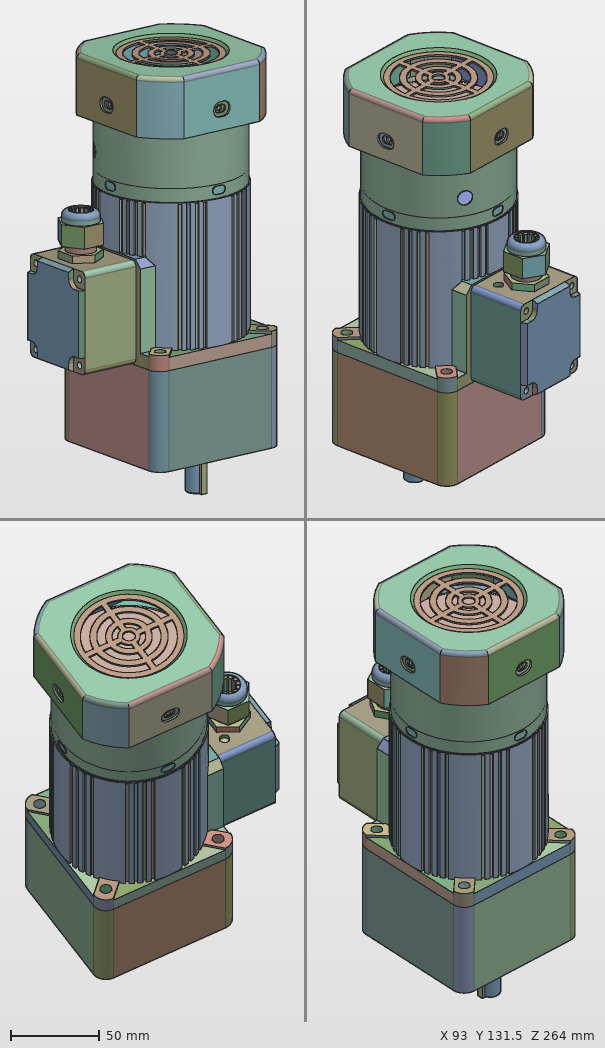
import cadquery as cq
import math


BOSS_BOTTOM = 28.2
GEARBOX_BOTTOM = 32.5
FLANGE_BOTTOM = 92.1
FLANGE_TOP = 100.0
EAR_TOP = 101.6
HOUSING_TOP = 187.2
SPIGOT_TOP = 195.4
CAP_BOTTOM = 227.8
CAP_TOP = 264.0

BODY_WIDTH = 90.0
BODY_CORNER_RADIUS = 8.2
BOLT_SPACING = 73.7
BOLT_HOLE_DIAMETER = 6.5
BOSS_RADIUS = 17.2
SHAFT_RADIUS = 6.0
SHAFT_Y = 18.0
SHAFT_CHAMFER = 0.65
KEY_WIDTH = 4.0
KEY_BOTTOM_X = 3.7
KEY_TOP_X = 7.7
KEY_LENGTH = 25.3

HOUSING_RADIUS = BODY_WIDTH / 2
RIM_HEIGHT = 0.8
GROOVE_WIDTH = 1.98
GROOVE_DEPTH = 1.5
GROOVE_FIRST_ANGLE = 12.8
GROOVE_PITCH_ANGLE = 6.3
GROOVES_PER_GROUP = 4
PAD_WIDTH = 58.3
PAD_TOP = 154.7
PAD_CHAMFER = 4.8

SLEEVE_DIAMETER = 88.5
SLEEVE_RADIUS = SLEEVE_DIAMETER / 2
SLEEVE_WALL = 0.5
SLEEVE_TOP = 237.5
SLOT_LENGTH = 9.0
SLOT_HEIGHT = 5.0
SLOT_Z = 192.0
CABLE_HOLE_DIAMETER = 9.0
CABLE_HOLE_Z = 207.0
CABLE_HOLE_ANGLE = 240

CAP_WIDTH = 93.0
CAP_CORNER_RADIUS = 53.9
CAP_EDGE_FILLET = 2.6
CAP_WALL = 3.7
CAP_ROOF = 1.0
SCREW_Z = 240.2
SCREW_RECESS_LENGTH = 12.0
SCREW_RECESS_HEIGHT = 9.0
SCREW_RECESS_DEPTH = 1.3
SCREW_SLOT_LENGTH = 7.0
SCREW_SLOT_HEIGHT = 4.8
SCREW_SLOT_DEPTH = 1.0
SCREW_HOLE_DIAMETER = 3.2
GRILLE_RADIUS = 33.0
GRILLE_FLOOR_RADIUS = 31.2
GRILLE_BACK_RADIUS = 34.8
GRILLE_DEPTH = 1.5
VENT_RINGS = [(6.3, 9.5), (13.2, 18.2), (22.2, 27.5)]
VENT_SPOKE_WIDTH = 3.7
VENT_CENTRE_RADIUS = 3.7

BOX_WIDTH = 50.0
BOX_BOTTOM = 92.7
BOX_TOP = 153.6
BOX_FRONT_Y = -85.0
BOX_BACK_Y = -BODY_WIDTH / 2
BOX_EDGE_FILLET = 3.2
BOX_BEVEL_WIDTH = 1.72
BOX_BEVEL_DEPTH = 3.5
POCKET_SIZE = 10.5
POCKET_DEPTH = 3.5
POCKET_CORNER_RADIUS = 5.0
BOX_SCREW_INSET = 5.0
BOX_SCREW_DIAMETER = 4.0
BOX_SCREW_DEPTH = 4.0
BOX_HOLE_X = -13.0
BOX_HOLE_Y = -55.2
BOX_HOLE_RADIUS = 3.0
BOX_HOLE_DEPTH = 2.6

GLAND_Y = -65.0
LOWER_HEX_FLATS = 22.5
LOWER_HEX_TOP = 158.1
NECK_RADIUS = 9.0
NECK_TOP = 162.5
UPPER_HEX_FLATS = 24.0
UPPER_HEX_TOP = 175.5
DOME_RADIUS = 11.0
DOME_TOP = 182.2
DOME_FILLET = 3.7
GLAND_MOUTH_RADIUS = 7.0
GLAND_BORE_RADIUS = 5.0
GLAND_MOUTH_DEPTH = 0.8
CLAMP_SLITS = 12
CLAMP_SLIT_WIDTH = 0.92
CLAMP_SLIT_RADIUS = 6.5
GLAND_BORE_BOTTOM = 158.5


def cylinder(radius, bottom, top, y=0):
    """Upright cylinder on the motor axis, or shifted along Y."""
    return cq.Workplane("XY").workplane(offset=bottom).center(0, y).circle(radius).extrude(top - bottom)


def rounded_block(bottom, top):
    """Square block of the gearbox outline."""
    return (
        cq.Workplane("XY").workplane(offset=bottom)
        .rect(BODY_WIDTH, BODY_WIDTH).extrude(top - bottom)
        .edges("|Z").fillet(BODY_CORNER_RADIUS)
    )


def bolt_holes(bottom, top):
    return (
        cq.Workplane("XY").workplane(offset=bottom)
        .rect(BOLT_SPACING, BOLT_SPACING, forConstruction=True).vertices()
        .circle(BOLT_HOLE_DIAMETER / 2).extrude(top - bottom)
    )


def crossing_slots(length, height, z, inner, outer):
    """Horizontal racetrack bars on all four sides, from `inner` to `outer` off the axis."""
    bar = (
        cq.Workplane("XZ").workplane(offset=inner).center(0, z)
        .slot2D(length, height).extrude(outer - inner)
    )
    bars = cq.Workplane("XY")
    for angle in (0, 90, 180, 270):
        bars = bars.add(bar.rotate((0, 0, 0), (0, 0, 1), angle))
    return bars.combine()


def make_key():
    straight = KEY_LENGTH - KEY_WIDTH / 2
    return (
        cq.Workplane("YZ").workplane(offset=KEY_BOTTOM_X).center(SHAFT_Y, 0)
        .moveTo(-KEY_WIDTH / 2, 0).lineTo(KEY_WIDTH / 2, 0).lineTo(KEY_WIDTH / 2, straight)
        .threePointArc((0, KEY_LENGTH), (-KEY_WIDTH / 2, straight)).close()
        .extrude(KEY_TOP_X - KEY_BOTTOM_X)
    )


def make_gearbox(key):
    """Gearbox with its boss and output shaft; the keyway is cut to match the key."""
    shaft = cylinder(SHAFT_RADIUS, 0, BOSS_BOTTOM, SHAFT_Y).faces("<Z").chamfer(SHAFT_CHAMFER)
    return (
        rounded_block(GEARBOX_BOTTOM, FLANGE_BOTTOM)
        .cut(bolt_holes(GEARBOX_BOTTOM, FLANGE_BOTTOM))
        .union(cylinder(BOSS_RADIUS, BOSS_BOTTOM, GEARBOX_BOTTOM, SHAFT_Y))
        .union(shaft)
        .cut(key)
    )


def make_flange():
    """Square flange whose bolt ears are raised strips along both diagonals."""
    ear_width = BODY_CORNER_RADIUS * math.sqrt(2)
    diagonal = 2 * BODY_WIDTH
    ears = rounded_block(FLANGE_TOP, EAR_TOP)
    flange = rounded_block(FLANGE_BOTTOM, FLANGE_TOP)
    for angle in (45, 135):
        strip = (
            cq.Workplane("XY").workplane(offset=FLANGE_TOP).transformed(rotate=(0, 0, angle))
            .rect(diagonal, ear_width).extrude(EAR_TOP - FLANGE_TOP)
        )
        flange = flange.union(ears.intersect(strip))
    return flange.cut(bolt_holes(FLANGE_BOTTOM, EAR_TOP))


def housing_grooves():
    """Eight mirrored groups of vertical grooves, two in each quadrant."""
    length = HOUSING_TOP - RIM_HEIGHT - FLANGE_TOP
    groove = (
        cq.Workplane("XY").workplane(offset=FLANGE_TOP).center(HOUSING_RADIUS, 0)
        .rect(2 * GROOVE_DEPTH, GROOVE_WIDTH).extrude(length)
    )
    grooves = cq.Workplane("XY")
    for quadrant in (0, 90, 180, 270):
        for side in (-1, 1):
            for index in range(GROOVES_PER_GROUP):
                angle = quadrant + side * (GROOVE_FIRST_ANGLE + index * GROOVE_PITCH_ANGLE)
                grooves = grooves.add(groove.rotate((0, 0, 0), (0, 0, 1), angle))
    return grooves.combine()


def make_housing():
    """Flange, ribbed barrel, pad for the terminal box, and the spigot inside the sleeve."""
    barrel = cylinder(HOUSING_RADIUS, FLANGE_TOP, HOUSING_TOP).cut(housing_grooves())
    pad = (
        cq.Workplane("XY").workplane(offset=FLANGE_TOP)
        .center(0, BOX_BACK_Y / 2).rect(PAD_WIDTH, -BOX_BACK_Y).extrude(PAD_TOP - FLANGE_TOP)
        .faces(">Z").edges("|Y").chamfer(PAD_CHAMFER)
    )
    spigot = cylinder(SLEEVE_RADIUS - SLEEVE_WALL, HOUSING_TOP, SPIGOT_TOP)
    return barrel.union(pad).union(make_flange()).union(spigot)


def make_sleeve():
    """Thin can over the spigot, closed at the top, with four slots near its foot and one cable hole."""
    cable_hole = (
        cq.Workplane("YZ").center(0, CABLE_HOLE_Z)
        .circle(CABLE_HOLE_DIAMETER / 2).extrude(HOUSING_RADIUS)
        .rotate((0, 0, 0), (0, 0, 1), CABLE_HOLE_ANGLE)
    )
    slots = crossing_slots(SLOT_LENGTH, SLOT_HEIGHT, SLOT_Z, HOUSING_RADIUS / 2, HOUSING_RADIUS)
    return (
        cylinder(SLEEVE_RADIUS, HOUSING_TOP, SLEEVE_TOP)
        .cut(cylinder(SLEEVE_RADIUS - SLEEVE_WALL, HOUSING_TOP, SLEEVE_TOP - SLEEVE_WALL))
        .cut(slots)
        .cut(cable_hole)
    )


def grille():
    """Tapered round recess in the cap roof, with interrupted vent rings through its floor."""
    floor_z = CAP_TOP - GRILLE_DEPTH
    recess = (
        cq.Workplane("XZ").moveTo(0, CAP_TOP).lineTo(GRILLE_RADIUS, CAP_TOP)
        .lineTo(GRILLE_FLOOR_RADIUS, floor_z).lineTo(0, floor_z).close()
        .revolve(360, (0, 0), (0, 1))
    )
    vent_floor = cq.Workplane("XY").workplane(offset=floor_z - CAP_ROOF)
    vents = vent_floor.circle(VENT_CENTRE_RADIUS).extrude(CAP_ROOF)
    spokes = (
        vent_floor.rect(CAP_WIDTH, VENT_SPOKE_WIDTH).extrude(CAP_ROOF)
        .union(vent_floor.rect(VENT_SPOKE_WIDTH, CAP_WIDTH).extrude(CAP_ROOF))
    )
    for inner, outer in VENT_RINGS:
        vents = vents.union(vent_floor.circle(outer).circle(inner).extrude(CAP_ROOF).cut(spokes))
    return recess.union(vents)


def arched_square(width, corner_radius, bottom, top):
    """Square block whose corners are rounded to a circle about the motor axis."""
    block = cq.Workplane("XY").workplane(offset=bottom).rect(width, width).extrude(top - bottom)
    return block.intersect(cylinder(corner_radius, bottom, top))


def cap_cavity():
    """Hollow above the sleeve; a round boss in its roof backs the grille."""
    roof_z = CAP_TOP - CAP_ROOF
    cavity = arched_square(
        CAP_WIDTH - 2 * CAP_WALL, CAP_CORNER_RADIUS - CAP_WALL, SLEEVE_TOP, roof_z
    )
    return cavity.cut(cylinder(GRILLE_BACK_RADIUS, roof_z - GRILLE_DEPTH, roof_z))


def cap_screw_holes():
    """Stepped hole in each side: racetrack recess, smaller racetrack, then a round through hole."""
    face = CAP_WIDTH / 2
    slot_floor = face - SCREW_RECESS_DEPTH - SCREW_SLOT_DEPTH
    recesses = crossing_slots(
        SCREW_RECESS_LENGTH, SCREW_RECESS_HEIGHT, SCREW_Z, face - SCREW_RECESS_DEPTH, face
    )
    slots = crossing_slots(SCREW_SLOT_LENGTH, SCREW_SLOT_HEIGHT, SCREW_Z, slot_floor, face)
    hole = cq.Workplane("XZ").center(0, SCREW_Z).circle(SCREW_HOLE_DIAMETER / 2).extrude(face, both=True)
    return recesses.union(slots).union(hole).union(hole.rotate((0, 0, 0), (0, 0, 1), 90))


def make_cap():
    """Hollow square cap with arched corners, bored at the bottom to sit on the sleeve."""
    return (
        arched_square(CAP_WIDTH, CAP_CORNER_RADIUS, CAP_BOTTOM, CAP_TOP)
        .faces(">Z").edges().fillet(CAP_EDGE_FILLET)
        .cut(cylinder(SLEEVE_RADIUS, CAP_BOTTOM, SLEEVE_TOP))
        .cut(cap_cavity())
        .cut(cap_screw_holes())
        .cut(grille())
    )


def box_corner_pocket(side, end):
    """Notch at one front corner of the box, with its screw hole, for corner signs `side` and `end`."""
    middle_z = (BOX_TOP + BOX_BOTTOM) / 2
    corner_x = side * BOX_WIDTH / 2
    corner_z = middle_z + end * (BOX_TOP - BOX_BOTTOM) / 2
    floor = cq.Workplane("XZ").workplane(offset=-BOX_FRONT_Y - POCKET_DEPTH)
    notch = (
        floor.center(corner_x, corner_z).rect(2 * POCKET_SIZE, 2 * POCKET_SIZE).extrude(POCKET_DEPTH)
        .edges("|Y").fillet(POCKET_CORNER_RADIUS)
    )
    hole = (
        floor.center(corner_x - side * BOX_SCREW_INSET, corner_z - end * BOX_SCREW_INSET)
        .circle(BOX_SCREW_DIAMETER / 2).extrude(-BOX_SCREW_DEPTH)
    )
    return notch.union(hole)


def make_terminal_box():
    depth = BOX_BACK_Y - BOX_FRONT_Y
    height = BOX_TOP - BOX_BOTTOM
    back = cq.Workplane("XZ").workplane(offset=-BOX_BACK_Y).center(0, (BOX_TOP + BOX_BOTTOM) / 2)
    body = back.rect(BOX_WIDTH, height).extrude(depth - BOX_BEVEL_DEPTH).edges("|Y").fillet(BOX_EDGE_FILLET)
    bevel_angle = math.degrees(math.atan(BOX_BEVEL_WIDTH / BOX_BEVEL_DEPTH))
    lid = body.faces("<Y").wires().toPending().extrude(BOX_BEVEL_DEPTH, taper=bevel_angle, combine=False)
    box = body.union(lid)
    for side in (-1, 1):
        for end in (-1, 1):
            box = box.cut(box_corner_pocket(side, end))
    top_hole = (
        cq.Workplane("XY").workplane(offset=BOX_TOP).center(BOX_HOLE_X, BOX_HOLE_Y)
        .circle(BOX_HOLE_RADIUS).extrude(-BOX_HOLE_DEPTH)
    )
    return box.cut(top_hole)


def hexagon(plane, across_flats, height):
    """Hexagonal prism with two corners on the X axis of `plane`."""
    across_corners = across_flats / math.cos(math.pi / 6)
    return plane.polygon(6, across_corners).extrude(height)


def make_gland():
    """Cable gland: lower hexagon, neck, upper hexagon and a rounded dome with a slit bore."""
    axis = cq.Workplane("XY").center(0, GLAND_Y)

    def stage(bottom):
        return axis.workplane(offset=bottom)

    lower_hex = hexagon(stage(BOX_TOP), LOWER_HEX_FLATS, LOWER_HEX_TOP - BOX_TOP)
    neck = stage(LOWER_HEX_TOP).circle(NECK_RADIUS).extrude(NECK_TOP - LOWER_HEX_TOP)
    turned = stage(NECK_TOP).transformed(rotate=(0, 0, 90))
    upper_hex = hexagon(turned, UPPER_HEX_FLATS, UPPER_HEX_TOP - NECK_TOP)
    dome = (
        stage(UPPER_HEX_TOP).circle(DOME_RADIUS).extrude(DOME_TOP - UPPER_HEX_TOP)
        .faces(">Z").edges().fillet(DOME_FILLET)
    )
    bore = stage(GLAND_BORE_BOTTOM).circle(GLAND_BORE_RADIUS).extrude(DOME_TOP - GLAND_BORE_BOTTOM)
    mouth = stage(DOME_TOP - GLAND_MOUTH_DEPTH).circle(GLAND_MOUTH_RADIUS).extrude(GLAND_MOUTH_DEPTH)
    slits = (
        stage(NECK_TOP).polarArray(CLAMP_SLIT_RADIUS / 2, 0, 360, CLAMP_SLITS)
        .rect(CLAMP_SLIT_RADIUS, CLAMP_SLIT_WIDTH).extrude(DOME_TOP - NECK_TOP)
    )
    return lower_hex.union(neck).union(upper_hex).union(dome).cut(bore).cut(mouth).cut(slits)


key = make_key()
gearbox = make_gearbox(key)
housing = make_housing()
sleeve = make_sleeve()
cap = make_cap()
terminal_box = make_terminal_box()
gland = make_gland()

result = cq.Compound.makeCompound([
    gearbox.val(),
    key.val(),
    housing.val(),
    sleeve.val(),
    cap.val(),
    terminal_box.val(),
    gland.val(),
])